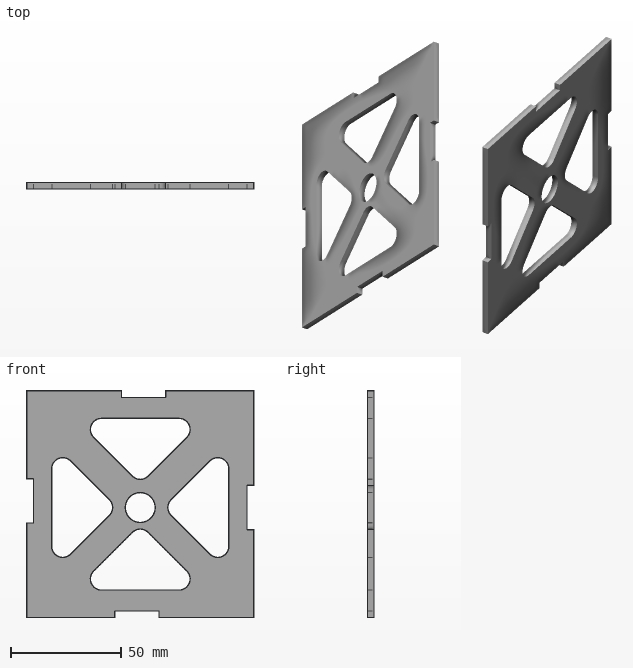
import cadquery as cq

SIDE = 103.0
THICKNESS = 3.0
HALF_SIDE = SIDE / 2

NOTCH_LENGTH = 20.0
NOTCH_DEPTH = THICKNESS
NOTCH_SHIFT = THICKNESS / 2

HUB_Z = -THICKNESS / 2
HUB_HOLE_DIAMETER = 13.45

WINDOW_HEIGHT = 29.65
WINDOW_CORNER_RADIUS = 5.0
SIDE_TIP_DISTANCE = 10.5
END_TIP_DISTANCE = 9.25


def prism(sketch):
    """Extrude a closed XZ outline through the plate thickness, centred on Y = 0."""
    return sketch.extrude(THICKNESS).translate((0, THICKNESS / 2, 0))


def plate():
    return prism(cq.Workplane("XZ").rect(SIDE, SIDE))


def notch(x, z, size_x, size_z):
    return prism(cq.Workplane("XZ").center(x, z).rect(size_x, size_z))


def edge_notches():
    """Notches in all four sides; opposite sides are shifted in opposite directions."""
    inset = HALF_SIDE - NOTCH_DEPTH / 2
    cuts = cq.Workplane("XZ")
    for side in (1, -1):
        shift = side * NOTCH_SHIFT
        cuts = cuts.add(notch(shift, side * inset, NOTCH_LENGTH, NOTCH_DEPTH))
        cuts = cuts.add(notch(side * inset, -shift, NOTCH_DEPTH, NOTCH_LENGTH))
    return cuts.combine()


def hub_hole():
    return prism(cq.Workplane("XZ").center(0, HUB_Z).circle(HUB_HOLE_DIAMETER / 2))


def window(tip_distance, angle, centre_z):
    """Rounded triangle pointing at (0, centre_z), turned by angle degrees about Y from +Z."""
    base = tip_distance + WINDOW_HEIGHT
    triangle = cq.Workplane("XZ").polyline(
        [(0, tip_distance), (WINDOW_HEIGHT, base), (-WINDOW_HEIGHT, base)]
    ).close()
    body = prism(triangle).edges("|Y").fillet(WINDOW_CORNER_RADIUS)
    return body.rotate((0, 0, 0), (0, 1, 0), angle).translate((0, 0, centre_z))


result = plate().cut(edge_notches()).cut(hub_hole())
for end_angle in (0, 180):
    result = result.cut(window(END_TIP_DISTANCE, end_angle, 0))
for side_angle in (90, 270):
    result = result.cut(window(SIDE_TIP_DISTANCE, side_angle, HUB_Z))